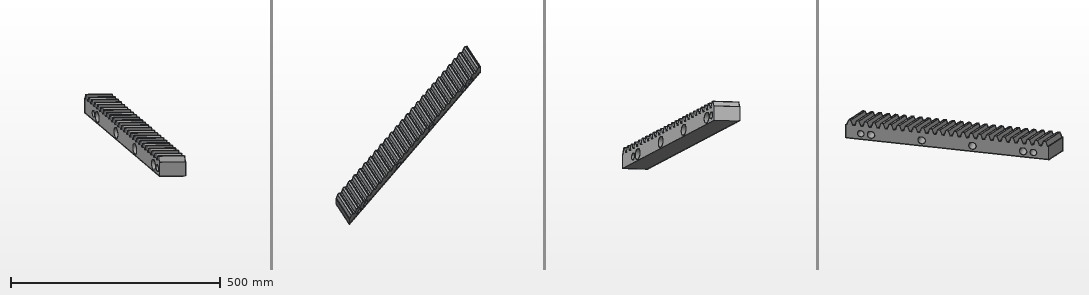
import cadquery as cq
import math

total_length = 520.0
width = 59.0
height = 49.0

helix_angle = 19.5
skew = width * math.tan(math.radians(helix_angle))
face_length = total_length - skew

tooth_count = 25
end_trim = 0.5
tooth_pitch = (face_length + 2 * end_trim) / tooth_count
tooth_depth = 13.0
tip_width = 5.5
pressure_angle = 20.0
flank_run = (
    tooth_depth * math.tan(math.radians(pressure_angle)) / math.cos(math.radians(helix_angle))
)
root_height = height - tooth_depth

hole_height = 16.0
hole_center = face_length / 2 + skew
screw_count = 4
screw_span = 375.0
screw_spacing = screw_span / (screw_count - 1)
screw_diameter = 18.0
counterbore_diameter = 26.0
counterbore_depth = 17.0
pin_spacing = 425.5
pin_diameter = 16.0

chamfer_size = 2.0


def tooth_points(center):
    """Outline of one tooth, from its left root to its right root."""
    half_tip = tip_width / 2
    half_root = half_tip + flank_run
    return [
        (center - half_root, root_height),
        (center - half_tip, height),
        (center + half_tip, height),
        (center + half_root, root_height),
    ]


def toothed_bar():
    """Rack outline in the front face, extruded obliquely to the back face."""
    first_tooth = face_length / 2 - (tooth_count - 1) / 2 * tooth_pitch
    outline = [(0, 0), (0, root_height)]
    for i in range(tooth_count):
        outline += tooth_points(first_tooth + i * tooth_pitch)
    outline += [(face_length, root_height), (face_length, 0)]
    wire = cq.Wire.makePolygon([cq.Vector(x, 0, z) for x, z in outline], close=True)
    return cq.Workplane(cq.Solid.extrudeLinear(wire, [], cq.Vector(skew, width, 0)))


def front_drill(spacing, count, diameter, depth):
    """A centered row of cylinders running from the front face into the bar."""
    return (
        cq.Workplane("XZ", origin=(hole_center, 0, hole_height))
        .rarray(spacing, 5, count, 1)
        .circle(diameter / 2)
        .extrude(-depth)
    )


def back_edge_cutter():
    """Triangular prism that bevels the lower back edge over the full length."""
    return (
        cq.Workplane("YZ")
        .polyline([(width, 0), (width - chamfer_size, 0), (width, chamfer_size)])
        .close()
        .extrude(total_length)
    )


result = (
    toothed_bar()
    .cut(front_drill(screw_spacing, screw_count, screw_diameter, width))
    .cut(front_drill(screw_spacing, screw_count, counterbore_diameter, counterbore_depth))
    .cut(front_drill(pin_spacing, 2, pin_diameter, width))
    .cut(back_edge_cutter())
)